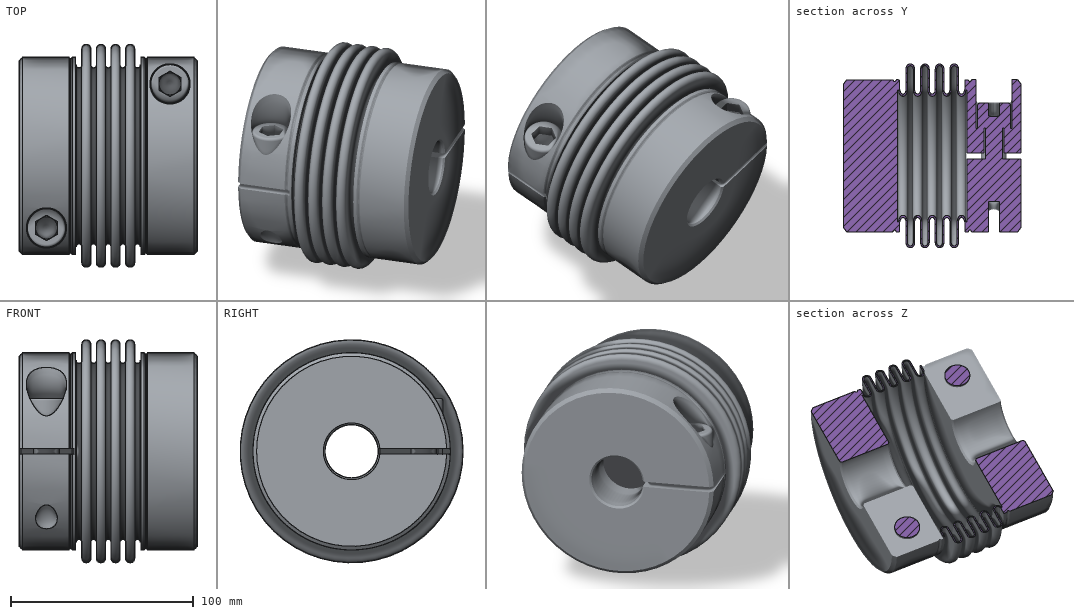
import cadquery as cq
import math


total_length = 97.58
half_length = total_length / 2
hub_diameter = 108.0
hub_radius = hub_diameter / 2
bore_diameter = 29.0
bore_chamfer = 1.0
outer_chamfer = 2.0

bellows_radius = 61.0
wall = 1.0
pitch = 8.0
crest_count = 4
crest_outer_arc = (pitch / 2 + wall) / 2
root_outer_arc = pitch / 2 - crest_outer_arc
crest_inner_arc = crest_outer_arc - wall
root_inner_arc = root_outer_arc + wall
root_radius = 48.2
crest_centre_radius = bellows_radius - crest_outer_arc
root_centre_radius = root_radius + root_outer_arc

hub_length = 30.0
flange_thickness = wall
flange_outer_face = half_length - hub_length
flange_inner_face = flange_outer_face - flange_thickness

groove_position = 28.2
groove_floor_diameter = 106.4
groove_depth = (hub_diameter - groove_floor_diameter) / 2
groove_floor_width = 0.4

slot_width = 3.0
screw_x = 15.0
screw_y = 39.4
screw_diameter = 14.0
clearance_diameter = 15.0
thread_core_diameter = 11.84
head_diameter = 21.0
head_height = 14.0
head_fillet = 1.35
counterbore_diameter = 22.0
head_seat_z = 15.0
screw_length = 40.0
hex_across_flats = 12.0
hex_depth = 7.0
hex_corner_angle = 90.0
hex_tip_angle = 120.0


def cylinder_z(diameter, bottom, top):
    """Cylinder on the screw axis between two heights."""
    base = cq.Workplane("XY", origin=(screw_x - half_length, -screw_y, bottom))
    return base.circle(diameter / 2).extrude(top - bottom)


def make_hub_body():
    """Turned hub with a chamfered bore and a groove; its outer end is at -X."""
    outer_end = -half_length
    inner_end = outer_end + hub_length
    bore_radius = bore_diameter / 2
    groove_x = outer_end + groove_position
    half_floor = groove_floor_width / 2
    half_mouth = half_floor + groove_depth
    floor_radius = groove_floor_diameter / 2
    profile = [
        (outer_end, bore_radius + bore_chamfer),
        (outer_end, hub_radius - outer_chamfer),
        (outer_end + outer_chamfer, hub_radius),
        (groove_x - half_mouth, hub_radius),
        (groove_x - half_floor, floor_radius),
        (groove_x + half_floor, floor_radius),
        (groove_x + half_mouth, hub_radius),
        (inner_end, hub_radius),
        (inner_end, bore_radius + bore_chamfer),
        (inner_end - bore_chamfer, bore_radius),
        (outer_end + bore_chamfer, bore_radius),
    ]
    body = cq.Workplane("XY").polyline(profile).close().revolve(360, (0, 0, 0), (1, 0, 0))
    return body.rotate((0, 0, 0), (1, 0, 0), 180)


def make_slot():
    """Radial clamping slot from the bore out through the -Y side of the hub."""
    slot = cq.Workplane("XY").box(hub_length, hub_radius, slot_width, centered=(False, False, True))
    return slot.translate((-half_length, -hub_radius, 0))


def make_screw_hole():
    """Counterbore, clearance hole down to the slot and threaded hole below it."""
    counterbore = cylinder_z(counterbore_diameter, head_seat_z, hub_radius)
    clearance = cylinder_z(clearance_diameter, 0, head_seat_z)
    thread_core = cylinder_z(thread_core_diameter, -hub_radius, 0)
    return counterbore.union(clearance).union(thread_core)


def make_screw():
    """Socket head cap screw with a rounded head edge and a hexagon socket."""
    head_top = head_seat_z + head_height
    head = cylinder_z(head_diameter, head_seat_z, head_top).faces(">Z").edges().fillet(head_fillet)
    shank = cylinder_z(screw_diameter, head_seat_z - screw_length, head_seat_z)
    hex_across_corners = hex_across_flats / math.cos(math.pi / 6)
    socket_floor = head_top - hex_depth
    socket = (
        cq.Workplane("XY", origin=(screw_x - half_length, -screw_y, socket_floor))
        .transformed(rotate=(0, 0, hex_corner_angle))
        .polygon(6, hex_across_corners)
        .extrude(hex_depth)
    )
    tip_radius = hex_across_flats / 2
    tip_depth = tip_radius / math.tan(math.radians(hex_tip_angle / 2))
    tip = cq.Solid.makeCone(
        tip_radius, 0, tip_depth,
        pnt=cq.Vector(screw_x - half_length, -screw_y, socket_floor),
        dir=cq.Vector(0, 0, -1),
    )
    return head.union(shank).cut(socket).cut(cq.Workplane(tip))


def make_hub():
    return make_hub_body().cut(make_slot()).cut(make_screw_hole()).union(make_screw())


def add_arc(path, x, centre_radius, apex_radius, half_width):
    """Half-circle over one crest or root, reached by a straight radial flank."""
    return (
        path.lineTo(x - half_width, centre_radius)
        .threePointArc((x, apex_radius), (x + half_width, centre_radius))
    )


def add_convolutions(path, crest_arc, root_arc, direction):
    """Run the bellows wave along X, from root to root; direction is 1 for +X or -1 for -X."""
    first_root = -direction * crest_count * pitch / 2
    crest_apex = crest_centre_radius + crest_arc
    root_apex = root_centre_radius - root_arc
    path = add_arc(path, first_root, root_centre_radius, root_apex, direction * root_arc)
    for index in range(crest_count):
        crest_x = first_root + direction * (index + 1 / 2) * pitch
        root_x = first_root + direction * (index + 1) * pitch
        path = add_arc(path, crest_x, crest_centre_radius, crest_apex, direction * crest_arc)
        path = add_arc(path, root_x, root_centre_radius, root_apex, direction * root_arc)
    return path


def make_bellows():
    """Thin-walled bellows with a flat ring-shaped flange at each end."""
    path = (
        cq.Workplane("XY")
        .moveTo(-flange_outer_face, hub_radius)
        .lineTo(-flange_inner_face, hub_radius)
        .lineTo(-flange_inner_face, root_centre_radius)
    )
    path = add_convolutions(path, crest_outer_arc, root_outer_arc, 1)
    path = (
        path.lineTo(flange_inner_face, root_centre_radius)
        .lineTo(flange_inner_face, hub_radius)
        .lineTo(flange_outer_face, hub_radius)
        .lineTo(flange_outer_face, root_centre_radius)
    )
    path = add_convolutions(path, crest_inner_arc, root_inner_arc, -1)
    path = path.lineTo(-flange_outer_face, root_centre_radius)
    return path.close().revolve(360, (0, 0, 0), (1, 0, 0))


hub = make_hub()
opposite_hub = hub.rotate((0, 0, 0), (0, 0, 1), 180)
result = make_bellows().union(hub).union(opposite_hub)